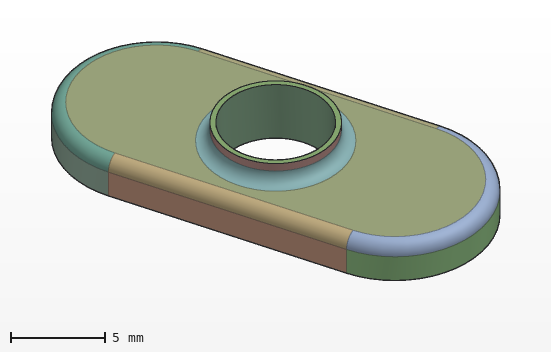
import cadquery as cq

plate_length = 25.4
plate_width = 11.18
plate_height = 2.4
edge_radius = 0.75

overall_height = 3.65
collar_diameter = 6.98
bore_diameter = 6.35
collar_root_radius = 0.75


def make_plate():
    """Plate with semicircular ends and a rounded top edge."""
    plate = cq.Workplane("XY").slot2D(plate_length, plate_width).extrude(plate_height)
    return plate.faces(">Z").edges().fillet(edge_radius)


def make_collar():
    """Solid collar that flares into the plate through a concave root fillet."""
    collar_radius = collar_diameter / 2
    flare_radius = collar_radius + collar_root_radius
    flare_top = plate_height + collar_root_radius
    profile = (
        cq.Workplane("XZ")
        .lineTo(flare_radius, 0)
        .lineTo(flare_radius, plate_height)
        .radiusArc((collar_radius, flare_top), collar_root_radius)
        .lineTo(collar_radius, overall_height)
        .lineTo(0, overall_height)
        .close()
    )
    return profile.revolve(360, (0, 0, 0), (0, 1, 0))


bore = cq.Workplane("XY").circle(bore_diameter / 2).extrude(overall_height)

result = make_plate().union(make_collar()).cut(bore)